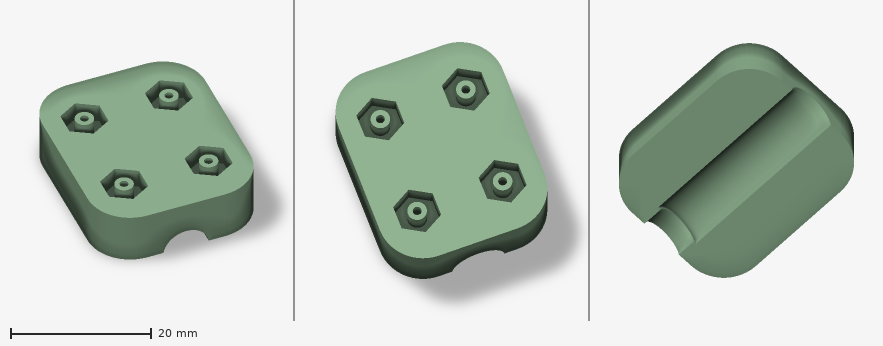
import cadquery as cq

length = 30.0
width = length * 5 / 6
height = width * 0.32
corner_radius = 6.5

channel_radius = 3.5
recess_radius = 4.0
channel_axis_drop = 0.5
end_lip_length = 3.0

pocket_spacing_x = length / 2
pocket_spacing_y = 13.0
hex_across_flats = 6.0
hex_across_corners = hex_across_flats * 2 / 3**0.5
pocket_depth = 3.0
post_diameter = 2.8
post_hole_diameter = 1.25


def make_block():
    block = cq.Workplane("XY").box(length, width, height, centered=(True, True, False))
    return block.edges("|Z").fillet(corner_radius)


def channel_cutter(radius, start_x, end_x):
    axis = cq.Workplane("YZ", origin=(start_x, 0, -channel_axis_drop))
    return axis.circle(radius).extrude(end_x - start_x)


def pocket_cutter():
    """Four hexagonal prisms, leaving the ring-shaped posts uncut."""
    floor = (
        cq.Workplane("XY", origin=(0, 0, height - pocket_depth))
        .rarray(pocket_spacing_x, pocket_spacing_y, 2, 2)
    )
    hexagons = floor.polygon(6, hex_across_corners).extrude(pocket_depth)
    posts = floor.circle(post_diameter / 2).circle(post_hole_diameter / 2).extrude(pocket_depth)
    return hexagons.cut(posts)


result = (
    make_block()
    .cut(channel_cutter(channel_radius, -length / 2, length / 2))
    .cut(channel_cutter(recess_radius, -length / 2, length / 2 - end_lip_length))
    .cut(pocket_cutter())
)